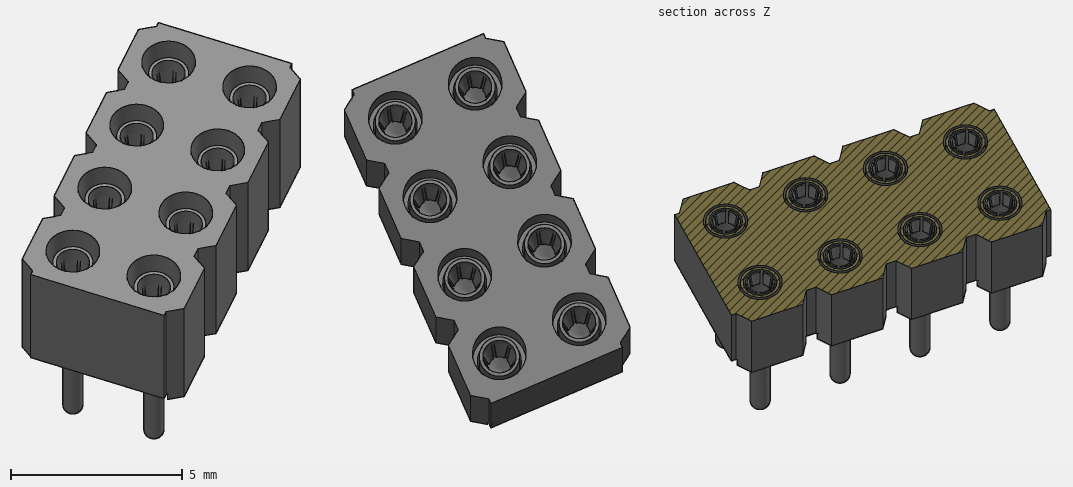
import cadquery as cq
import math

pitch = 2.54
columns = 2
rows = 4

housing_width = columns * pitch
housing_length = rows * pitch
housing_height = 3.86
notch_depth = 0.45
notch_floor_width = 0.3
notch_mouth_width = 0.91

foot_height = 0.23
foot_thickness = 0.42

head_diameter = 1.86
head_height = 1.42
barrel_diameter = 1.28
shoulder_recess = 0.04
shoulder_top_depth = housing_height - shoulder_recess

counterbore_diameter = 1.56
counterbore_depth = 1.22
sleeve_diameter = 1.17
sleeve_top_depth = 0.52
sleeve_root_depth = 3.71

bore_diameter = 0.97
bore_depth = 3.05
drill_point_angle = 130.0

finger_count = 6
finger_top_depth = 1.02
finger_length = 1.22
finger_tip_diameter = 0.62
finger_thickness = 0.06
finger_slot_width = 0.09

pin_diameter = 0.6
pin_shoulder_depth = 4.2
overall_height = 7.4

bore_radius = bore_diameter / 2
pin_radius = pin_diameter / 2


def rib_profile(row_y, side, inner_x):
    """Tapered side rib of one row, from inner_x outward; side is +1 or -1 along X."""
    root_x = housing_width / 2 - notch_depth
    root_half_width = (pitch - notch_floor_width) / 2
    face_half_width = (pitch - notch_mouth_width) / 2
    flank_run = (root_half_width - face_half_width) / notch_depth
    inner_half_width = root_half_width - flank_run * (inner_x - root_x)
    return cq.Workplane("XY").polyline([
        (side * inner_x, row_y - inner_half_width),
        (side * housing_width / 2, row_y - face_half_width),
        (side * housing_width / 2, row_y + face_half_width),
        (side * inner_x, row_y + inner_half_width),
    ]).close()


def make_housing(row_positions):
    core_width = housing_width - 2 * notch_depth
    housing = cq.Workplane("XY").rect(core_width, housing_length).extrude(-housing_height)
    rib_root_x = core_width / 2
    foot_inner_x = housing_width / 2 - foot_thickness
    for row_y in row_positions:
        for side in (-1, 1):
            rib = rib_profile(row_y, side, rib_root_x).extrude(-housing_height)
            foot = rib_profile(row_y, side, foot_inner_x).extrude(-housing_height - foot_height)
            housing = housing.union(rib).union(foot)
    return housing


def make_contact_body():
    """Revolved outside of a contact: flush head, barrel, tapered shoulder and round-ended pin."""
    head_radius = head_diameter / 2
    barrel_radius = barrel_diameter / 2
    dome_start = overall_height - pin_radius
    dome_middle = pin_radius * math.sqrt(0.5)
    return (
        cq.Workplane("XZ")
        .moveTo(0, 0)
        .lineTo(head_radius, 0)
        .lineTo(head_radius, -head_height)
        .lineTo(barrel_radius, -head_height)
        .lineTo(barrel_radius, -shoulder_top_depth)
        .lineTo(pin_radius, -pin_shoulder_depth)
        .lineTo(pin_radius, -dome_start)
        .threePointArc((dome_middle, -dome_start - dome_middle), (0, -overall_height))
        .close()
        .revolve(360, (0, 0, 0), (0, 1, 0))
    )


def make_socket():
    """Revolved cavity of a contact: counterbore, clearance gap, clip rim, bore and drill point."""
    drill_point_depth = bore_radius / math.tan(math.radians(drill_point_angle / 2))
    return (
        cq.Workplane("XZ")
        .moveTo(0, 0)
        .lineTo(counterbore_diameter / 2, 0)
        .lineTo(counterbore_diameter / 2, -counterbore_depth)
        .lineTo(barrel_diameter / 2, -counterbore_depth)
        .lineTo(barrel_diameter / 2, -sleeve_root_depth)
        .lineTo(sleeve_diameter / 2, -sleeve_root_depth)
        .lineTo(sleeve_diameter / 2, -sleeve_top_depth)
        .lineTo(bore_radius, -sleeve_top_depth)
        .lineTo(bore_radius, -bore_depth)
        .lineTo(0, -bore_depth - drill_point_depth)
        .close()
        .revolve(360, (0, 0, 0), (0, 1, 0))
    )


def make_fingers():
    """Ring of spring fingers converging downward from the bore wall, parted by radial slots."""
    root_overlap = 0.03
    root_height = 0.3
    tip_radius = finger_tip_diameter / 2
    finger_bottom = finger_top_depth + finger_length
    fingers = (
        cq.Workplane("XZ")
        .moveTo(bore_radius, -finger_top_depth)
        .lineTo(tip_radius, -finger_bottom)
        .lineTo(tip_radius + finger_thickness, -finger_bottom)
        .lineTo(bore_radius + root_overlap, -finger_top_depth - root_height)
        .lineTo(bore_radius + root_overlap, -finger_top_depth)
        .close()
        .revolve(360, (0, 0, 0), (0, 1, 0))
    )
    slot = (
        cq.Workplane("XY", origin=(0, 0, -finger_bottom))
        .rect(finger_slot_width, bore_diameter)
        .extrude(finger_length)
    )
    for index in range(finger_count // 2):
        fingers = fingers.cut(slot.rotate((0, 0, 0), (0, 0, 1), index * 360 / finger_count))
    return fingers


column_positions = [(index - (columns - 1) / 2) * pitch for index in range(columns)]
row_positions = [(index - (rows - 1) / 2) * pitch for index in range(rows)]

contact_body = make_contact_body()
contact = contact_body.cut(make_socket()).union(make_fingers())

result = make_housing(row_positions)
for contact_x in column_positions:
    for contact_y in row_positions:
        position = (contact_x, contact_y, 0)
        result = result.cut(contact_body.translate(position), clean=False)
        result = result.union(contact.translate(position), clean=False)